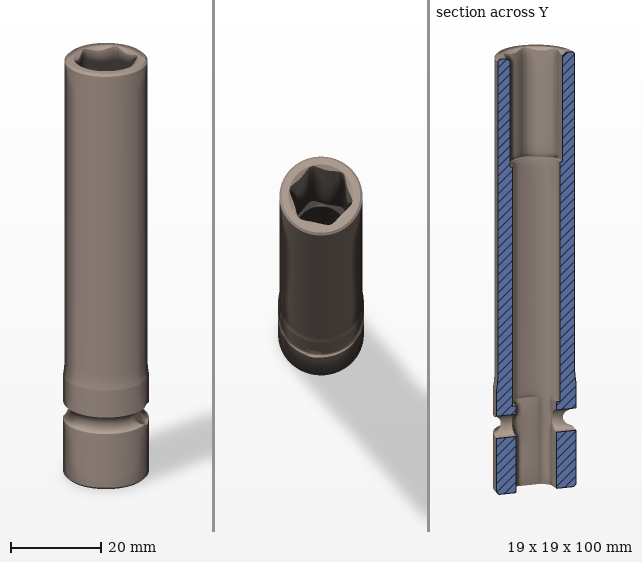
import cadquery as cq
import math

LENGTH = 100.0
BASE_RADIUS = 9.5
BARREL_RADIUS = 9.2
BASE_CHAMFER = 0.6
TOP_CHAMFER = 0.5

SHOULDER_START = 24.0
SHOULDER_END = 27.3
GROOVE_Z = 15.5
GROOVE_WIDTH = 4.0
GROOVE_DEPTH = 1.7
PIN_HOLE_DIAMETER = 5.0

DRIVE_SIZE = 9.5
DRIVE_CORNER_DIAMETER = 11.2
DRIVE_DEPTH = 20.0

SOCKET_DEPTH = 25.0
SOCKET_SIDES = 6
SOCKET_APOTHEM = 6.2
SOCKET_CORNER_RADIUS = 7.1
SOCKET_CORNER_HALF_ANGLE = 3.5
SIDE_EDGE_RADIUS = 6.6
SIDE_HALF_ANGLE = 16.5
MOUTH_RADIUS = 7.2
MOUTH_DEPTH = 0.7


def polar(radius, angle):
    """Point at a radius and an angle in degrees."""
    turn = math.radians(angle)
    return radius * math.cos(turn), radius * math.sin(turn)


def make_body():
    """Turned outside with a concave shoulder and a rounded ring groove."""
    shoulder_height = SHOULDER_END - SHOULDER_START
    shoulder_step = BASE_RADIUS - BARREL_RADIUS
    shoulder_arc_radius = (shoulder_height**2 + shoulder_step**2) / (2 * shoulder_step)
    half_arc_angle = math.asin(shoulder_height / shoulder_arc_radius) / 2
    shoulder_middle = (
        BARREL_RADIUS + shoulder_arc_radius * (1 - math.cos(half_arc_angle)),
        SHOULDER_END - shoulder_arc_radius * math.sin(half_arc_angle),
    )
    half_groove = GROOVE_WIDTH / 2
    profile = (
        cq.Workplane("XZ")
        .moveTo(0, 0)
        .lineTo(BASE_RADIUS - BASE_CHAMFER, 0)
        .lineTo(BASE_RADIUS, BASE_CHAMFER)
        .lineTo(BASE_RADIUS, GROOVE_Z - half_groove)
        .threePointArc(
            (BASE_RADIUS - GROOVE_DEPTH, GROOVE_Z),
            (BASE_RADIUS, GROOVE_Z + half_groove),
        )
        .lineTo(BASE_RADIUS, SHOULDER_START)
        .threePointArc(shoulder_middle, (BARREL_RADIUS, SHOULDER_END))
        .lineTo(BARREL_RADIUS, LENGTH - TOP_CHAMFER)
        .lineTo(BARREL_RADIUS - TOP_CHAMFER, LENGTH)
        .lineTo(0, LENGTH)
        .close()
    )
    return profile.revolve(360, (0, 0, 0), (0, 1, 0))


def make_drive():
    """Square hole with its corners trimmed to a circle."""
    square = cq.Workplane("XY").rect(DRIVE_SIZE, DRIVE_SIZE).extrude(DRIVE_DEPTH)
    corner_limit = cq.Workplane("XY").circle(DRIVE_CORNER_DIAMETER / 2).extrude(DRIVE_DEPTH)
    return square.intersect(corner_limit)


def make_clearance():
    """Round passage joining the drive and the socket."""
    passage_length = LENGTH - SOCKET_DEPTH - DRIVE_DEPTH
    passage = cq.Workplane("XY").workplane(offset=DRIVE_DEPTH)
    return passage.circle(DRIVE_CORNER_DIAMETER / 2).extrude(passage_length)


def make_socket():
    """Hexagonal hole with bowed sides, straight flanks and narrow rounded corners."""
    step = 360 / SOCKET_SIDES
    outline = cq.Workplane("XY").workplane(offset=LENGTH - SOCKET_DEPTH)
    outline = outline.moveTo(*polar(SIDE_EDGE_RADIUS, -SIDE_HALF_ANGLE))
    for side in range(SOCKET_SIDES):
        middle = side * step
        corner = middle + step / 2
        next_side_start = middle + step - SIDE_HALF_ANGLE
        outline = (
            outline.threePointArc(
                polar(SOCKET_APOTHEM, middle),
                polar(SIDE_EDGE_RADIUS, middle + SIDE_HALF_ANGLE),
            )
            .lineTo(*polar(SOCKET_CORNER_RADIUS, corner - SOCKET_CORNER_HALF_ANGLE))
            .threePointArc(
                polar(SOCKET_CORNER_RADIUS, corner),
                polar(SOCKET_CORNER_RADIUS, corner + SOCKET_CORNER_HALF_ANGLE),
            )
            .lineTo(*polar(SIDE_EDGE_RADIUS, next_side_start))
        )
    return outline.close().extrude(SOCKET_DEPTH)


def make_mouth():
    """Conical lead-in that narrows from the mouth to the socket sides."""
    return (
        cq.Workplane("XZ")
        .moveTo(0, LENGTH - MOUTH_DEPTH)
        .lineTo(SOCKET_APOTHEM, LENGTH - MOUTH_DEPTH)
        .lineTo(MOUTH_RADIUS, LENGTH)
        .lineTo(0, LENGTH)
        .close()
        .revolve(360, (0, 0, 0), (0, 1, 0))
    )


def make_pin_hole():
    """Retaining pin hole running along X through the groove."""
    pin_plane = cq.Workplane("YZ").center(0, GROOVE_Z)
    return pin_plane.circle(PIN_HOLE_DIAMETER / 2).extrude(BASE_RADIUS, both=True)


result = (
    make_body()
    .cut(make_drive())
    .cut(make_clearance())
    .cut(make_socket())
    .cut(make_mouth())
    .cut(make_pin_hole())
)